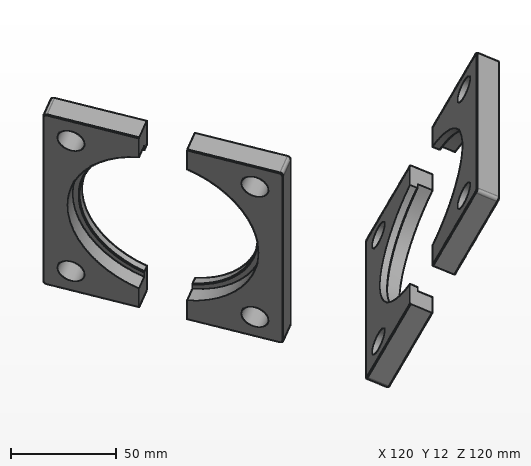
import cadquery as cq

side = 120.0
thickness = 12.0
split_gap = 24.0

seat_radius = 47.8
bore_radius = 44.4
lip_thickness = 4.2
lip_chamfer = 0.5
seat_depth = thickness - lip_thickness

hole_diameter = 13.5
hole_offset = 46.0

corner_radius = 1.8
edge_chamfer = 0.5

half_thickness = thickness / 2
half_width = (side - split_gap) / 2
half_center = (split_gap + half_width) / 2
front_y = -half_thickness
lip_front_y = front_y + seat_depth


def flange_blank(direction):
    """Half plate with rounded outer corners and chamfered outer rims."""
    outer_face = ">X" if direction > 0 else "<X"
    blank = cq.Workplane("XY").box(half_width, thickness, side)
    blank = blank.translate((direction * half_center, 0, 0))
    blank = blank.faces(outer_face).edges("|Y").fillet(corner_radius)
    split_face = "<X" if direction > 0 else ">X"
    split_edges = blank.faces(split_face).edges().vals()
    rims = [
        edge
        for edge in blank.faces("<Y or >Y").edges().vals()
        if not any(edge.isSame(split_edge) for split_edge in split_edges)
    ]
    return blank.newObject(rims).chamfer(edge_chamfer)


def stepped_bore():
    """Revolved cutter: seat, chamfered step and bore, coaxial with Y."""
    return (
        cq.Workplane("XY")
        .moveTo(0, front_y)
        .lineTo(seat_radius, front_y)
        .lineTo(seat_radius, lip_front_y)
        .lineTo(bore_radius + lip_chamfer, lip_front_y)
        .lineTo(bore_radius, lip_front_y + lip_chamfer)
        .lineTo(bore_radius, half_thickness)
        .lineTo(0, half_thickness)
        .close()
        .revolve(360, (0, 0, 0), (0, 1, 0))
    )


def bolt_holes(direction):
    """Two through-hole cutters for one half."""
    return (
        cq.Workplane("XZ")
        .pushPoints([(direction * hole_offset, z) for z in (-hole_offset, hole_offset)])
        .circle(hole_diameter / 2)
        .extrude(half_thickness, both=True)
    )


def flange_half(direction):
    """One half of the split flange, on the -X (-1) or +X (1) side."""
    return flange_blank(direction).cut(stepped_bore()).cut(bolt_holes(direction))


flange_halves = [flange_half(direction).solids().val() for direction in (-1, 1)]

result = cq.Compound.makeCompound(flange_halves)